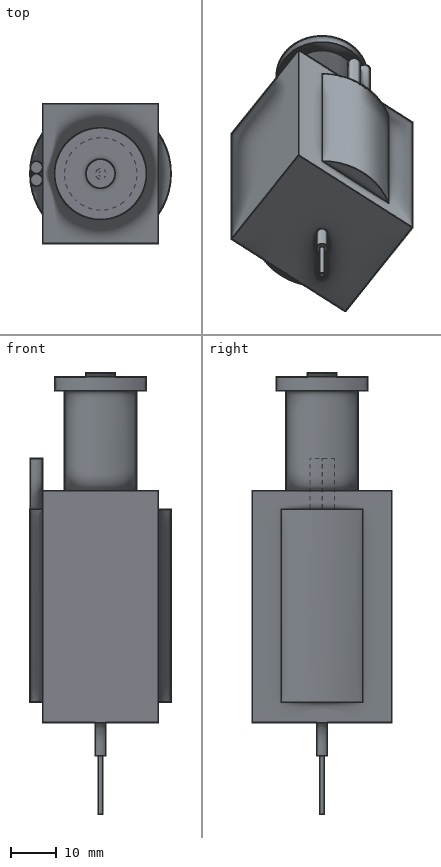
import cadquery as cq

FRAME_WIDTH = 25.2
FRAME_DEPTH = 30.5
FRAME_HEIGHT = 50.6

COIL_DIAMETER = 30.8
COIL_BOTTOM_MARGIN = 4.5
COIL_TOP_MARGIN = 4.1

PLUNGER_RISE = 25.65
SHAFT_DIAMETER = 15.8
FLANGE_DIAMETER = 20.0
FLANGE_THICKNESS = 3.0
BUTTON_DIAMETER = 6.35
BUTTON_HEIGHT = 0.9

PIN_LENGTH = 20.0
PIN_COLLAR_DIAMETER = 2.3
PIN_COLLAR_LENGTH = 7.25
PIN_TIP_DIAMETER = 1.0

WIRE_DIAMETER = 2.7
WIRE_CLEARANCE = 0.02
WIRE_RISE = 7.0

coil_bottom = COIL_BOTTOM_MARGIN
coil_top = FRAME_HEIGHT - COIL_TOP_MARGIN
plunger_top = FRAME_HEIGHT + PLUNGER_RISE
flange_top = plunger_top - BUTTON_HEIGHT
flange_bottom = flange_top - FLANGE_THICKNESS
wire_top = FRAME_HEIGHT + WIRE_RISE

wire_x = -(FRAME_WIDTH / 2 + WIRE_CLEARANCE + WIRE_DIAMETER / 2)
wire_offset = (WIRE_DIAMETER + WIRE_CLEARANCE) / 2


def rod(diameter, bottom, top, x=0, y=0):
    """Vertical round bar between two Z levels."""
    return cq.Workplane("XY", origin=(x, y, bottom)).circle(diameter / 2).extrude(top - bottom)


def make_frame():
    return cq.Workplane("XY").box(FRAME_WIDTH, FRAME_DEPTH, FRAME_HEIGHT, centered=(True, True, False))


def make_coil():
    """Coil trimmed flush with the frame's Y faces, so it bulges out along X only."""
    flush_block = cq.Workplane("XY").box(COIL_DIAMETER, FRAME_DEPTH, 2 * FRAME_HEIGHT)
    return rod(COIL_DIAMETER, coil_bottom, coil_top).intersect(flush_block)


def make_plunger():
    shaft = rod(SHAFT_DIAMETER, FRAME_HEIGHT, flange_bottom)
    flange = rod(FLANGE_DIAMETER, flange_bottom, flange_top)
    button = rod(BUTTON_DIAMETER, flange_top, plunger_top)
    return shaft.union(flange).union(button)


def make_pin():
    collar = rod(PIN_COLLAR_DIAMETER, -PIN_COLLAR_LENGTH, 0)
    tip = rod(PIN_TIP_DIAMETER, -PIN_LENGTH, -PIN_COLLAR_LENGTH)
    return collar.union(tip)


def make_wire(y):
    return rod(WIRE_DIAMETER, coil_top, wire_top, wire_x, y)


result = make_frame().union(make_coil()).union(make_plunger()).union(make_pin())
for wire_y in (-wire_offset, wire_offset):
    result = result.union(make_wire(wire_y))